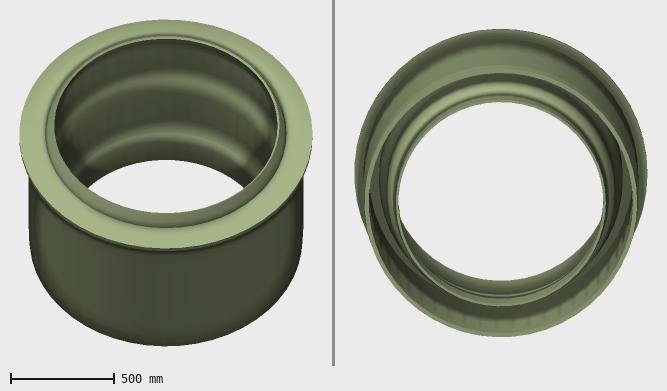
import cadquery as cq
import math

TOTAL_HEIGHT = 890.0
FLANGE_TOP = 821.0
FLANGE_THICKNESS = 21.0
FLANGE_DIAMETER = 1420.0

BARREL_OUTER_DIAMETER = 1330.0
BARREL_INNER_DIAMETER = 1280.0
BARREL_END_DIAMETER = 1320.0
TAPER_HEIGHT = 80.0

LINER_THICKNESS = 12.0
UPPER_BORE = 1156.0
MIDDLE_BORE = 1076.0
LOWER_BORE = 993.0
DOME_BASE_Z = 770.0
UPPER_STEP_TOP = 616.0
LOWER_STEP_TOP = 263.0
RIM_OUTER_DIAMETER = 1100.0
SLOPE_RUN = 23.0
SLOPE_TILT = 34.0
CONE_HEIGHT = 9.0
UPPER_STEP_HEIGHT = 143.0
UPPER_STEP_FIRST_ARC = 64.0

flange_bottom = FLANGE_TOP - FLANGE_THICKNESS


def offset_point(radius, z, tilt, thickness):
    """Move a point along the wall normal; a positive tilt points the normal upwards."""
    return (radius + thickness * math.cos(tilt), z + thickness * math.sin(tilt))


def bend(start, end_tilt, height):
    """Middle and end stations (radius, z, tilt) of an arc that changes the wall tilt.

    The height is signed: positive runs upwards, negative downwards.
    """
    radius, z, start_tilt = start
    arc_radius = height / (math.sin(end_tilt) - math.sin(start_tilt))
    stations = []
    for tilt in ((start_tilt + end_tilt) / 2, end_tilt):
        stations.append((
            radius + arc_radius * (math.cos(tilt) - math.cos(start_tilt)),
            z + arc_radius * (math.sin(tilt) - math.sin(start_tilt)),
            tilt,
        ))
    return stations


def liner_sections():
    """Inner wall from the rim down: each section is the stations of a line or an arc."""
    dome_base = (UPPER_BORE / 2, DOME_BASE_Z, 0.0)
    dome_run = (UPPER_BORE + 2 * LINER_THICKNESS - RIM_OUTER_DIAMETER) / 2
    dome_tilt = 2 * math.atan(dome_run / (TOTAL_HEIGHT - DOME_BASE_Z))
    outer_dome_radius = (TOTAL_HEIGHT - DOME_BASE_Z) / math.sin(dome_tilt)
    dome_height = (outer_dome_radius - LINER_THICKNESS) * math.sin(dome_tilt)
    dome_middle, rim = bend(dome_base, dome_tilt, dome_height)

    upper_start = (UPPER_BORE / 2, UPPER_STEP_TOP, 0.0)
    upper_tilt = -2 * math.atan((UPPER_BORE - MIDDLE_BORE) / 2 / UPPER_STEP_HEIGHT)
    upper_middle, upper_turn = bend(upper_start, upper_tilt, -UPPER_STEP_FIRST_ARC)
    upper_second, upper_end = bend(upper_turn, 0.0, UPPER_STEP_FIRST_ARC - UPPER_STEP_HEIGHT)

    lower_start = (MIDDLE_BORE / 2, LOWER_STEP_TOP, 0.0)
    lower_tilt = -math.radians(SLOPE_TILT)
    first_height = SLOPE_RUN / math.tan(-lower_tilt / 2)
    lower_middle, cone_top = bend(lower_start, lower_tilt, -first_height)
    cone_bottom = (
        cone_top[0] + CONE_HEIGHT * math.tan(lower_tilt),
        cone_top[1] - CONE_HEIGHT,
        lower_tilt,
    )
    second_height = (cone_bottom[0] - LOWER_BORE / 2) / math.tan(-lower_tilt / 2)
    lower_second, lower_end = bend(cone_bottom, 0.0, -second_height)

    return [
        [rim, dome_middle, dome_base],
        [dome_base, upper_start],
        [upper_start, upper_middle, upper_turn],
        [upper_turn, upper_second, upper_end],
        [upper_end, lower_start],
        [lower_start, lower_middle, cone_top],
        [cone_top, cone_bottom],
        [cone_bottom, lower_second, lower_end],
        [lower_end, (LOWER_BORE / 2, 0.0, 0.0)],
    ]


def trace_wall(profile, sections, thickness):
    """Continue a profile along the wall, offset from its inner surface."""
    for section in sections:
        points = [offset_point(*station, thickness) for station in section[1:]]
        if len(points) == 1:
            profile = profile.lineTo(*points[0])
        else:
            profile = profile.threePointArc(*points)
    return profile


def revolve_about_z(profile):
    return profile.close().revolve(360, (0, 0), (0, 1))


def make_liner():
    sections = liner_sections()
    reversed_sections = [section[::-1] for section in sections[::-1]]
    bottom = sections[-1][-1]
    rim = sections[0][0]
    profile = cq.Workplane("XZ").moveTo(*offset_point(*rim, LINER_THICKNESS))
    profile = trace_wall(profile, sections, LINER_THICKNESS)
    profile = profile.lineTo(*offset_point(*bottom, 0))
    profile = trace_wall(profile, reversed_sections, 0)
    return revolve_about_z(profile)


def make_liner_envelope():
    """Filled outer shape of the liner, used to bore the flange."""
    sections = liner_sections()
    profile = cq.Workplane("XZ").moveTo(0, TOTAL_HEIGHT)
    profile = profile.lineTo(*offset_point(*sections[0][0], LINER_THICKNESS))
    profile = trace_wall(profile, sections, LINER_THICKNESS).lineTo(0, 0)
    return revolve_about_z(profile)


def make_flange():
    """Flat ring whose bore fits closely around the dome of the liner."""
    disc = cq.Workplane("XY").workplane(offset=flange_bottom)
    disc = disc.circle(FLANGE_DIAMETER / 2).extrude(FLANGE_THICKNESS)
    return disc.cut(make_liner_envelope()).solids()


def make_barrel():
    profile = cq.Workplane("XZ").polyline([
        (BARREL_INNER_DIAMETER / 2, 0),
        (BARREL_END_DIAMETER / 2, 0),
        (BARREL_OUTER_DIAMETER / 2, TAPER_HEIGHT),
        (BARREL_OUTER_DIAMETER / 2, flange_bottom),
        (BARREL_INNER_DIAMETER / 2, flange_bottom),
    ])
    return revolve_about_z(profile)


liner = make_liner()
flange = make_flange()
barrel = make_barrel()

result = cq.Compound.makeCompound([liner.val(), flange.val(), barrel.val()])